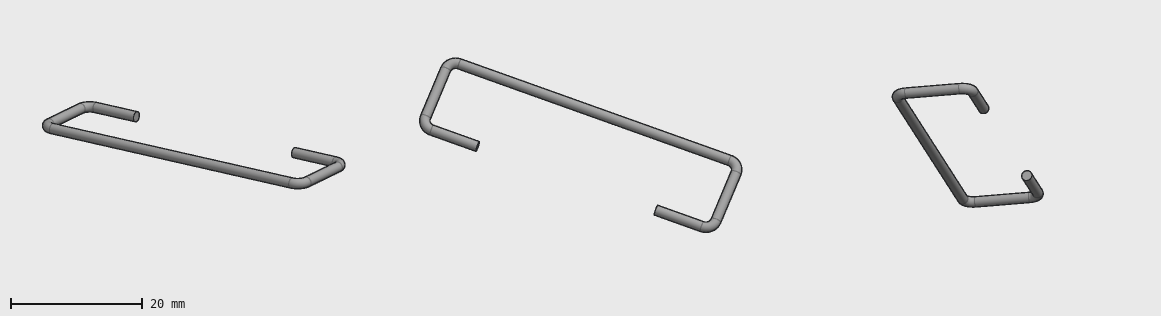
import cadquery as cq

length = 48.85
width = 13.3
wire_diameter = 1.6

outer_bend_radius = 2.45
end_leg_reach = 9.9

wire_radius = wire_diameter / 2
bend_radius = outer_bend_radius - wire_radius
half_length = length / 2 - wire_radius
half_width = width / 2 - wire_radius
end_x = length / 2 - end_leg_reach
straight_x = half_length - bend_radius
straight_y = half_width - bend_radius

centreline = (
    cq.Workplane("XY")
    .moveTo(-end_x, half_width)
    .lineTo(-straight_x, half_width)
    .tangentArcPoint((-half_length, straight_y), relative=False)
    .lineTo(-half_length, -straight_y)
    .tangentArcPoint((-straight_x, -half_width), relative=False)
    .lineTo(straight_x, -half_width)
    .tangentArcPoint((half_length, -straight_y), relative=False)
    .lineTo(half_length, straight_y)
    .tangentArcPoint((straight_x, half_width), relative=False)
    .lineTo(end_x, half_width)
)

result = (
    cq.Workplane("YZ", origin=(-end_x, half_width, 0))
    .circle(wire_radius)
    .sweep(centreline)
)